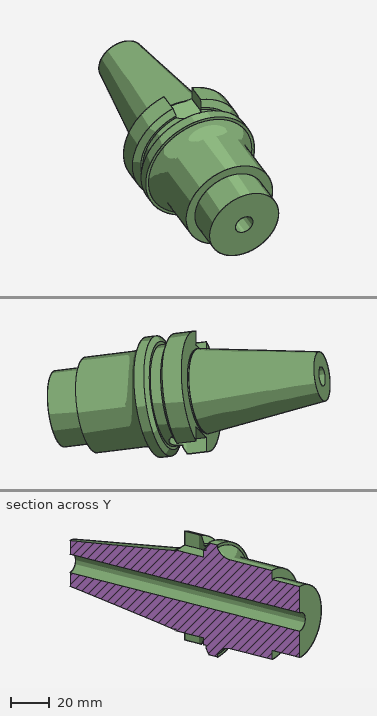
import cadquery as cq
import math

taper_end = 65.4
flange_start = 66.3
groove_left_rim = 76.8
groove_left_wall = 78.9
groove_right_wall = 85.0
groove_right_rim = 86.8
flange_end = 92.3
body_start = 100.0
body_end = 126.5
total_length = 143.7

bore_radius = 5.0
taper_small_radius = 13.0
taper_large_radius = 22.3
neck_radius = 21.8
flange_radius = 31.5
groove_radius = 26.6
body_radius = 25.0
nose_radius = 20.0

groove_flank_slope = math.tan(math.radians(60))
left_flank_foot = flange_radius - (groove_left_wall - groove_left_rim) * groove_flank_slope
right_flank_foot = flange_radius - (groove_right_rim - groove_right_wall) * groove_flank_slope

sweep_radius = 8.6
sweep_center_radius = body_radius + sweep_radius

slot_width = 16.1
slot_end = 83.4
slot_floor = 22.7


def sweep_height(x):
    """Radius of the concave sweep at station x."""
    return sweep_center_radius - math.sqrt(sweep_radius**2 - (body_start - x) ** 2)


def turned_holder():
    """Taper, grooved flange, body and nose revolved around X."""
    sweep_middle = (flange_end + body_start) / 2
    return (
        cq.Workplane("XY")
        .moveTo(0, bore_radius)
        .lineTo(0, taper_small_radius)
        .lineTo(taper_end, taper_large_radius)
        .lineTo(taper_end, neck_radius)
        .lineTo(flange_start, neck_radius)
        .lineTo(flange_start, flange_radius)
        .lineTo(groove_left_rim, flange_radius)
        .lineTo(groove_left_wall, left_flank_foot)
        .lineTo(groove_left_wall, groove_radius)
        .lineTo(groove_right_wall, groove_radius)
        .lineTo(groove_right_wall, right_flank_foot)
        .lineTo(groove_right_rim, flange_radius)
        .lineTo(flange_end, flange_radius)
        .lineTo(flange_end, sweep_height(flange_end))
        .threePointArc((sweep_middle, sweep_height(sweep_middle)), (body_start, body_radius))
        .lineTo(body_end, body_radius)
        .lineTo(body_end, nose_radius)
        .lineTo(total_length, nose_radius)
        .lineTo(total_length, bore_radius)
        .close()
        .revolve(360, (0, 0, 0), (1, 0, 0))
    )


def drive_slot(side):
    """Round-ended cutter for one slot; side is 1 for above, -1 for below."""
    half_width = slot_width / 2
    arc_start = slot_end - half_width
    return (
        cq.Workplane("XY", origin=(0, 0, side * slot_floor))
        .moveTo(flange_start, -half_width)
        .lineTo(arc_start, -half_width)
        .threePointArc((slot_end, 0), (arc_start, half_width))
        .lineTo(flange_start, half_width)
        .close()
        .extrude(side * (flange_radius - slot_floor))
    )


result = turned_holder()
for slot_side in (1, -1):
    result = result.cut(drive_slot(slot_side))